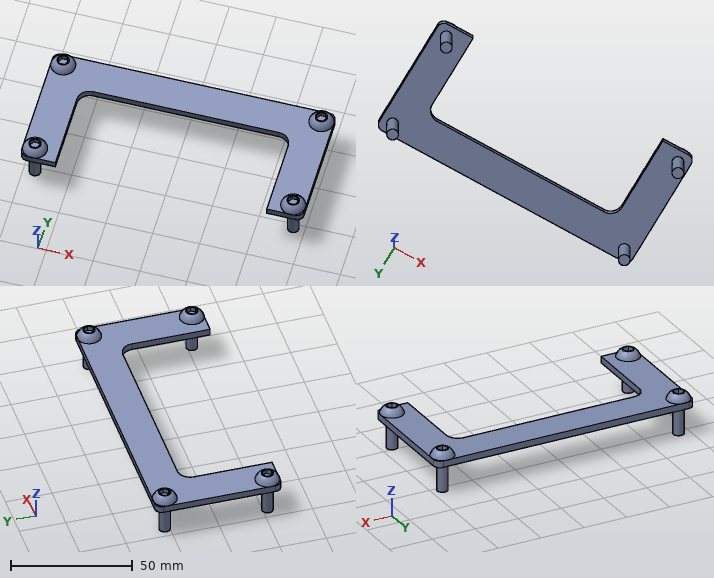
import cadquery as cq
import math

plate_length = 120.5
plate_width = 54.0
plate_thickness = 3.0
band_width = 15.0
leg_width = 15.2
outer_corner_radius = 3.0
inner_corner_radius = 5.4

screw_spacing_x = 110.1
screw_spacing_y = 44.1
shank_diameter = 4.8
shank_length = 16.0
head_diameter = 10.4
head_height = 3.3
head_top_diameter = 5.1
socket_across_flats = 4.0
socket_depth = 2.0

screw_positions = [
    (x, y)
    for x in (-screw_spacing_x / 2, screw_spacing_x / 2)
    for y in (-screw_spacing_y / 2, screw_spacing_y / 2)
]


def make_plate():
    """U-shaped plate with rounded corners and a hole for each screw."""
    blank = (
        cq.Workplane("XY")
        .box(plate_length, plate_width, plate_thickness, centered=(True, True, False))
        .edges("|Z")
        .fillet(outer_corner_radius)
    )
    opening = (
        cq.Workplane("XY")
        .center(0, -band_width)
        .rect(plate_length - 2 * leg_width, plate_width)
        .extrude(plate_thickness)
        .edges("|Z and >Y")
        .fillet(inner_corner_radius)
    )
    holes = (
        cq.Workplane("XY")
        .pushPoints(screw_positions)
        .circle(shank_diameter / 2)
        .extrude(plate_thickness)
    )
    return blank.cut(opening).cut(holes)


def make_screw(x, y):
    """Screw with a spherical button head seated on the plate and a hex socket."""
    base_radius = head_diameter / 2
    top_radius = head_top_diameter / 2
    shank_radius = shank_diameter / 2

    center_drop = (base_radius**2 - top_radius**2 - head_height**2) / (2 * head_height)
    sphere_radius = math.hypot(base_radius, center_drop)
    mid_height = head_height / 2
    mid_radius = math.sqrt(sphere_radius**2 - (mid_height + center_drop) ** 2)

    body = (
        cq.Workplane("XZ")
        .moveTo(0, -shank_length)
        .lineTo(shank_radius, -shank_length)
        .lineTo(shank_radius, 0)
        .lineTo(base_radius, 0)
        .threePointArc((mid_radius, mid_height), (top_radius, head_height))
        .lineTo(0, head_height)
        .close()
        .revolve(360, (0, 0, 0), (0, 1, 0))
    )
    socket_across_corners = socket_across_flats / math.cos(math.pi / 6)
    socket = (
        cq.Workplane("XY")
        .workplane(offset=head_height - socket_depth)
        .polygon(6, socket_across_corners)
        .extrude(socket_depth)
    )
    return body.cut(socket).translate((x, y, plate_thickness))


plate = make_plate()
screws = [make_screw(x, y).val() for x, y in screw_positions]

result = cq.Compound.makeCompound([plate.val(), *screws])